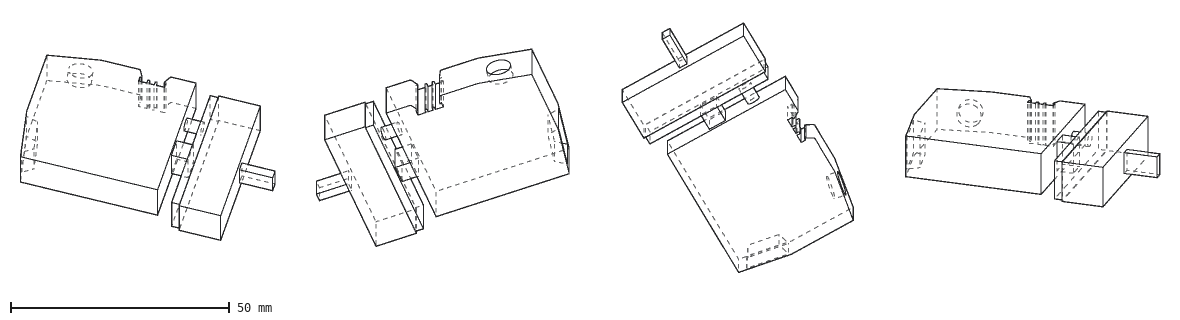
import cadquery as cq
import math

total_length = 58.75
total_width = 33.9

housing_length = 34.95
housing_width = 31.1
housing_height = 10.1
slant_angle = 10.0
slant_rise = 2.2
lower_slant_setback = 2.25
slant_run = slant_rise / math.tan(math.radians(slant_angle))
lower_slant_width = lower_slant_setback / math.tan(math.radians(slant_angle))
housing_top = total_width
housing_bottom = housing_top - housing_width

notch_left = 22.15
notch_right = 28.35
notch_depth = 3.2
lip_overhang = 0.4
lip_upper_depth = 1.7
lip_lower_depth = 2.1
lip_root_depth = 2.0
flare_run = 0.95
flare_round = 0.45
rib_centers = (24.4, 26.15)
rib_width = 0.5
rib_height = 0.9

hole_diameter = 5.65
hole_depth = 2.7
hole_drop = 0.8

pocket_start = 0.7
pocket_length = 10.15
pocket_height = 7.9
pocket_depth = 2.75
pocket_inset = 1.3

flange_start = 38.95
flange_bottom = 0.45
flange_width = 31.2
flange_height = 9.45
block_start = 40.9
block_end = 50.8
block_width = 32.0
block_height = 9.8
neck_bottom = 13.85
neck_width = 4.2
neck_height = 7.3
rod_diameter = 3.05
rod_center = 25.5
tab_bottom = 15.1
tab_width = 2.0
tab_height = 5.15


def centered_box(x_start, x_end, y_start, width, height):
    """Box spanning the given X and Y ranges, centred on Z = 0."""
    box = cq.Workplane("XY").box(x_end - x_start, width, height, centered=(False, False, True))
    return box.translate((x_start, y_start, 0))


def extruded_outline(points):
    """Closed XY outline extruded over the housing height."""
    return cq.Workplane("XY").polyline(points).close().extrude(housing_height / 2, both=True)


def housing_plate():
    return extruded_outline([
        (0, housing_bottom + lower_slant_width),
        (lower_slant_setback, housing_bottom),
        (housing_length, housing_bottom),
        (housing_length, housing_top),
        (slant_run, housing_top),
        (0, housing_top - slant_rise),
    ])


def cut_notch(body):
    """Undercut notch with flared mouth, cut through the full height."""
    lip_left = notch_left + lip_overhang
    lip_right = notch_right - lip_overhang
    floor = housing_top - notch_depth
    lip_lower = housing_top - lip_lower_depth
    lip_upper = housing_top - lip_upper_depth
    lip_root = housing_top - lip_root_depth
    notch = extruded_outline([
        (notch_left, floor),
        (notch_right, floor),
        (notch_right, lip_root),
        (lip_right, lip_lower),
        (lip_right, lip_upper),
        (lip_right + flare_run, housing_top),
        (lip_left - flare_run, housing_top),
        (lip_left, lip_upper),
        (lip_left, lip_lower),
        (notch_left, lip_root),
    ])
    return body.cut(notch)


def round_notch_mouth(body):
    mouth_left = notch_left + lip_overhang - flare_run
    mouth_right = notch_right - lip_overhang + flare_run
    for x in (mouth_left, mouth_right):
        edge = cq.selectors.NearestToPointSelector((x, housing_top, 0))
        body = body.edges("|Z").edges(edge).fillet(flare_round)
    return body


def notch_rib(x):
    """Round-topped rib standing on the notch floor."""
    floor = housing_top - notch_depth
    radius = rib_width / 2
    shoulder = floor + rib_height - radius
    return (
        cq.Workplane("XY")
        .moveTo(x - radius, floor)
        .lineTo(x + radius, floor)
        .lineTo(x + radius, shoulder)
        .threePointArc((x, shoulder + radius), (x - radius, shoulder))
        .close()
        .extrude(housing_height / 2, both=True)
    )


def slant_hole():
    """Blind hole square to the upper slant."""
    angle = math.radians(slant_angle)
    center = (slant_run - hole_drop / math.tan(angle), housing_top - hole_drop, 0)
    inward = (math.sin(angle), -math.cos(angle), 0)
    plane = cq.Plane(origin=center, xDir=(0, 0, 1), normal=inward)
    return cq.Workplane(plane).circle(hole_diameter / 2).extrude(hole_depth)


def slant_pocket():
    """Pocket square to the lower slant, narrowing inward at both ends."""
    angle = math.radians(slant_angle)
    plane = cq.Plane(
        origin=(0, housing_bottom + lower_slant_width, 0),
        xDir=(math.sin(angle), -math.cos(angle), 0),
        normal=(0, 0, 1),
    )
    pocket_end = pocket_start + pocket_length
    return (
        cq.Workplane(plane)
        .polyline([
            (pocket_start, 0),
            (pocket_end, 0),
            (pocket_end - pocket_inset, pocket_depth),
            (pocket_start + pocket_inset, pocket_depth),
        ])
        .close()
        .extrude(pocket_height / 2, both=True)
    )


housing = round_notch_mouth(cut_notch(housing_plate()))
for rib_x in rib_centers:
    housing = housing.union(notch_rib(rib_x))
housing = housing.cut(slant_hole()).cut(slant_pocket())

flange = centered_box(flange_start, block_start, flange_bottom, flange_width, flange_height)
block = centered_box(block_start, block_end, 0, block_width, block_height)
neck = centered_box(housing_length, flange_start, neck_bottom, neck_width, neck_height)
tab = centered_box(block_end, total_length, tab_bottom, tab_width, tab_height)
rod = (
    cq.Workplane("YZ", origin=(housing_length, rod_center, 0))
    .circle(rod_diameter / 2)
    .extrude(flange_start - housing_length)
)

result = housing.union(neck).union(rod).union(flange).union(block).union(tab)